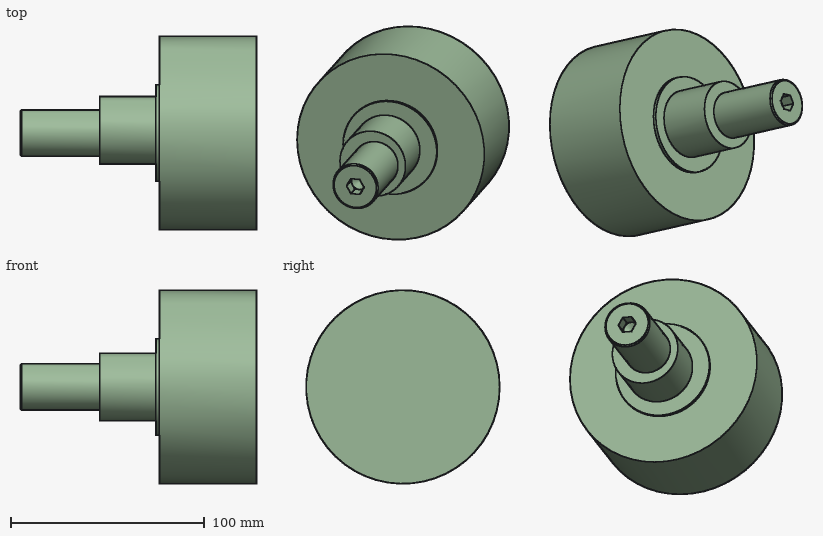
import cadquery as cq
import math

total_length = 122.0
wheel_diameter = 100.0
wheel_width = 50.3
flange_diameter = 50.0
flange_thickness = 1.7
collar_diameter = 35.0
collar_length = 29.0
collar_offset = 1.5
shaft_diameter = 24.0
shaft_chamfer = 0.7

socket_across_flats = 8.0
socket_depth = 8.0
socket_tip_angle = 120.0

wheel_start = total_length - wheel_width
flange_start = wheel_start - flange_thickness
collar_start = flange_start - collar_length


def cylinder(start, length, diameter, offset_y=0.0):
    """Cylinder along +X starting at the given station."""
    plane = cq.Workplane("YZ", origin=(start, offset_y, 0))
    return plane.circle(diameter / 2).extrude(length)


def hexagon_socket():
    """Hexagonal pocket with corners on Y, ending in a conical drill point."""
    across_corners = socket_across_flats / math.cos(math.radians(30))
    hexagon = cq.Workplane("YZ").polygon(6, across_corners).extrude(socket_depth)
    tip_radius = socket_across_flats / 2
    tip_depth = tip_radius / math.tan(math.radians(socket_tip_angle / 2))
    tip = cq.Solid.makeCone(
        tip_radius, 0, tip_depth, pnt=cq.Vector(socket_depth, 0, 0), dir=cq.Vector(1, 0, 0)
    )
    return hexagon.union(cq.Workplane(obj=tip))


wheel = cylinder(wheel_start, wheel_width, wheel_diameter)
flange = cylinder(flange_start, flange_thickness, flange_diameter)
collar = cylinder(collar_start, collar_length, collar_diameter, collar_offset)
shaft = cylinder(0, collar_start, shaft_diameter).faces("<X").chamfer(shaft_chamfer)

result = wheel.union(flange).union(collar).union(shaft).cut(hexagon_socket())